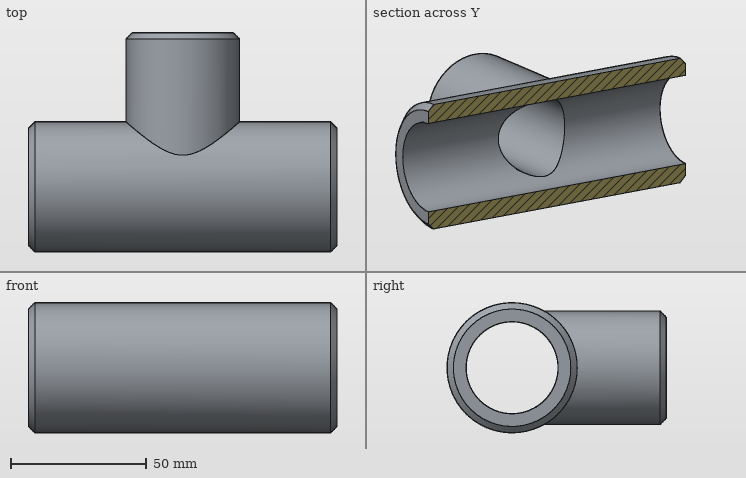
import cadquery as cq

run_length = 114.3
run_diameter = 48.26
run_wall = 7.14
branch_reach = 57.15
branch_diameter = 42.16
branch_wall = 6.35
bevel = 2.4

run_bore = run_diameter - 2 * run_wall
branch_bore = branch_diameter - 2 * branch_wall


def run_cylinder(diameter):
    """Cylinder along X, centred on the origin."""
    return cq.Workplane("YZ").circle(diameter / 2).extrude(run_length / 2, both=True)


def branch_cylinder(diameter):
    """Cylinder along +Y, from the run axis to the branch end face."""
    return cq.Workplane("XZ").circle(diameter / 2).extrude(-branch_reach)


run_body = run_cylinder(run_diameter).faces("<X or >X").chamfer(bevel)
branch_body = branch_cylinder(branch_diameter).faces(">Y").chamfer(bevel)

passages = run_cylinder(run_bore).union(branch_cylinder(branch_bore))

result = run_body.union(branch_body).cut(passages)